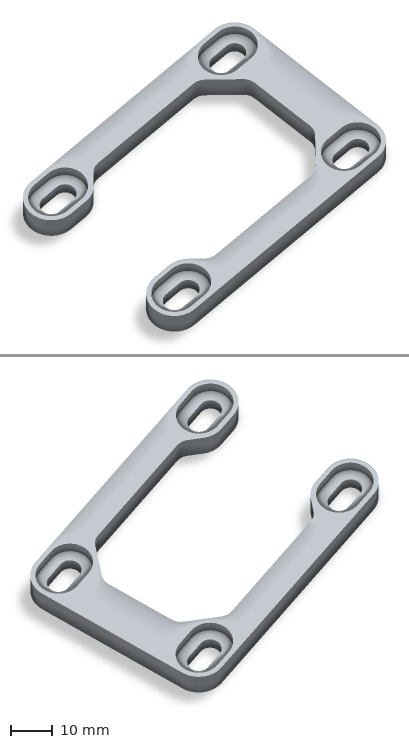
import cadquery as cq

width = 54.75
length = 77.0
thickness = 6.3

foot_width = 13.55
arm_width = 7.7
beam_depth = 11.55
corner_chamfer = 8.8
foot_shoulder_height = 14.55
inner_fillet = 4.0

slot_width = 5.55
pocket_width = 11.1
slot_travel = 4.8
pocket_depth = 3.0

foot_radius = foot_width / 2
half_width = width / 2
half_length = length / 2
foot_inner_x = half_width - foot_width
arm_inner_x = half_width - arm_width
shoulder_y = -half_length + foot_shoulder_height
shoulder_rise = foot_width - arm_width
beam_y = half_length - beam_depth
slot_x = half_width - foot_radius
slot_y = half_length - foot_radius - slot_travel / 2
slot_centres = [(x, y) for x in (-slot_x, slot_x) for y in (-slot_y, slot_y)]


def make_outer_plate():
    """Plate with rounded beam corners, ending square at the centres of the foot tips."""
    plate_length = length - foot_radius
    plate = cq.Workplane("XY").box(width, plate_length, thickness, centered=(True, True, False))
    plate = plate.edges("|Z and >Y").fillet(foot_radius)
    return plate.translate((0, foot_radius / 2, 0))


def make_opening():
    """Open-ended cutout between the arms, narrowing at the feet and at the beam."""
    right_side = [
        (foot_inner_x, -half_length),
        (foot_inner_x, shoulder_y),
        (arm_inner_x, shoulder_y + shoulder_rise),
        (arm_inner_x, beam_y - corner_chamfer),
        (arm_inner_x - corner_chamfer, beam_y),
    ]
    left_side = [(-x, y) for x, y in reversed(right_side)]
    opening = cq.Workplane("XY").polyline(right_side + left_side).close().extrude(thickness)

    above_shoulders = cq.selectors.BoxSelector(
        (-half_width, shoulder_y + shoulder_rise / 2, 0),
        (half_width, half_length, thickness),
    )
    opening = opening.edges("|Z").edges(above_shoulders).fillet(inner_fillet)

    at_shoulders = cq.selectors.BoxSelector(
        (-half_width, shoulder_y - shoulder_rise / 2, 0),
        (half_width, shoulder_y + shoulder_rise / 2, thickness),
    )
    return opening.edges("|Z").edges(at_shoulders).fillet(foot_radius)


def make_foot_tips():
    """Discs that give each foot a fully round end."""
    tip_y = -half_length + foot_radius
    tips = cq.Workplane("XY").pushPoints([(-slot_x, tip_y), (slot_x, tip_y)])
    return tips.circle(foot_radius).extrude(thickness)


def make_slots(slot_size, bottom, height):
    slots = cq.Workplane("XY").workplane(offset=bottom).pushPoints(slot_centres)
    return slots.slot2D(slot_travel + slot_size, slot_size, 90).extrude(height)


frame = make_outer_plate().cut(make_opening()).union(make_foot_tips()).clean()
through_slots = make_slots(slot_width, 0, thickness)
pockets = make_slots(pocket_width, thickness - pocket_depth, pocket_depth)
result = frame.cut(through_slots).cut(pockets)